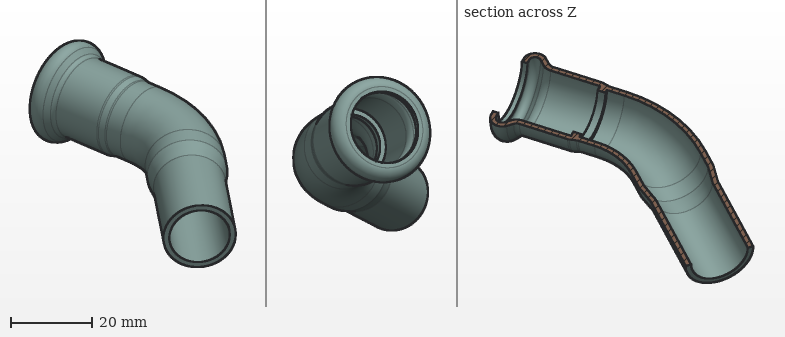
import cadquery as cq
import math

tube_diameter = 19.95
spigot_diameter = 18.0
spigot_bore_diameter = 15.0
wall = (spigot_diameter - spigot_bore_diameter) / 2
bend_angle = 45.0
bend_radius = 26.8

socket_diameter = 21.0
socket_radius = socket_diameter / 2
bead_radius = 13.25
bead_section_radius = 3.0
bead_blend_radius = 1.85
socket_end = 20.95
neck_end = 23.1
neck_blend_radius = 1.9
selection_margin = 0.1

body_radius = tube_diameter / 2
spigot_radius = spigot_diameter / 2
bend_start = 27.7
body_straight = 4.9
reducer_length = 5.5
outlet_length = 33.9

stop_radius = spigot_bore_diameter / 2
socket_bore_radius = socket_radius - wall
body_bore_radius = body_radius - wall

diagonal = math.sqrt(0.5)
bead_center_x = bead_section_radius
bead_center_r = bead_radius - bead_section_radius


def bead_outline(start, section_radius, blend_radius, tube_radius):
    """Bead arc, 45 degree flank and concave blend, ending tangent to the tube."""
    flank_x = bead_center_x + section_radius * diagonal
    flank_r = bead_center_r + section_radius * diagonal
    blend_r = tube_radius + blend_radius * (1 - diagonal)
    blend_x = flank_x + flank_r - blend_r
    blend_end_x = blend_x + blend_radius * diagonal
    middle_angle = math.radians(22.5)
    blend_middle = (
        blend_end_x - blend_radius * math.sin(middle_angle),
        tube_radius + blend_radius * (1 - math.cos(middle_angle)),
    )
    arc_middle_angle = math.radians(112.5)
    arc_middle = (
        bead_center_x + section_radius * math.cos(arc_middle_angle),
        bead_center_r + section_radius * math.sin(arc_middle_angle),
    )
    return (
        start.lineTo(bead_center_x - section_radius, bead_center_r)
        .threePointArc(arc_middle, (flank_x, flank_r))
        .lineTo(blend_x, blend_r)
        .threePointArc(blend_middle, (blend_end_x, tube_radius))
    )


def revolve_about_x(outline):
    return outline.close().revolve(360, (0, 0, 0), (1, 0, 0))


def round_edge_at(solid, x):
    """Blend the circular edge centred on the axis at the given X."""
    circle_box = cq.selectors.BoxSelector(
        (x - selection_margin, -selection_margin, -selection_margin),
        (x + selection_margin, selection_margin, selection_margin),
    )
    return solid.edges(circle_box).fillet(neck_blend_radius)


def make_socket():
    outer = bead_outline(
        cq.Workplane("XY"), bead_section_radius, bead_blend_radius, socket_radius
    )
    outer = (
        outer.lineTo(socket_end, socket_radius)
        .lineTo(neck_end, body_radius)
        .lineTo(bend_start, body_radius)
        .lineTo(bend_start, 0)
    )
    lip = cq.Workplane("XY").lineTo(0, socket_bore_radius).lineTo(wall, socket_bore_radius)
    inner = bead_outline(
        lip, bead_section_radius - wall, bead_blend_radius + wall, socket_bore_radius
    )
    inner = (
        inner.lineTo(socket_end, socket_bore_radius)
        .lineTo(socket_end, stop_radius)
        .lineTo(neck_end, stop_radius)
        .lineTo(neck_end, body_bore_radius)
        .lineTo(bend_start, body_bore_radius)
        .lineTo(bend_start, 0)
    )
    shell = revolve_about_x(outer)
    for edge_x in (socket_end, neck_end):
        shell = round_edge_at(shell, edge_x)
    return shell.cut(revolve_about_x(inner))


def make_bend():
    return (
        cq.Workplane("YZ", origin=(bend_start, 0, 0))
        .circle(body_radius)
        .circle(body_bore_radius)
        .revolve(bend_angle, (-bend_radius, 0.8, 0), (-bend_radius, 0, 0))
    )


def make_outlet():
    reducer_end = body_straight + reducer_length
    outline = (
        cq.Workplane("XY")
        .moveTo(0, body_bore_radius)
        .lineTo(0, body_radius)
        .lineTo(body_straight, body_radius)
        .lineTo(reducer_end, spigot_radius)
        .lineTo(outlet_length, spigot_radius)
        .lineTo(outlet_length, spigot_radius - wall)
        .lineTo(reducer_end, spigot_radius - wall)
        .lineTo(body_straight, body_bore_radius)
    )
    turn = math.radians(bend_angle)
    bend_end = (
        bend_start + bend_radius * math.sin(turn),
        -bend_radius * (1 - math.cos(turn)),
        0,
    )
    straight = revolve_about_x(outline)
    return straight.rotate((0, 0, 0), (0, 0, 1), -bend_angle).translate(bend_end)


result = make_socket().union(make_bend()).union(make_outlet())